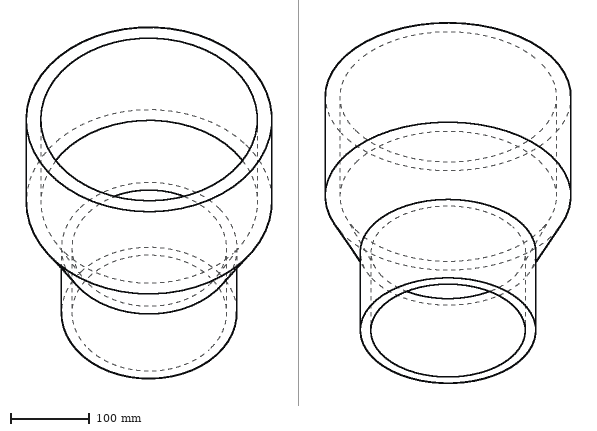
import cadquery as cq

total_height = 375.0
wide_outer_diameter = 315.0
wide_wall = 18.8
narrow_outer_diameter = 225.0
narrow_wall = 13.5
narrow_length = 125.5
wide_length = 159.5

wide_outer_radius = wide_outer_diameter / 2
wide_bore_radius = wide_outer_radius - wide_wall
narrow_outer_radius = narrow_outer_diameter / 2
narrow_bore_radius = narrow_outer_radius - narrow_wall
cone_bottom = narrow_length
cone_top = total_height - wide_length


def stepped_body(narrow_radius, wide_radius):
    """Solid of revolution: narrow cylinder, cone, wide cylinder."""
    profile = [
        (0, 0),
        (narrow_radius, 0),
        (narrow_radius, cone_bottom),
        (wide_radius, cone_top),
        (wide_radius, total_height),
        (0, total_height),
    ]
    return cq.Workplane("XZ").polyline(profile).close().revolve(360, (0, 0), (0, 1))


outside = stepped_body(narrow_outer_radius, wide_outer_radius)
bore = stepped_body(narrow_bore_radius, wide_bore_radius)

result = outside.cut(bore)